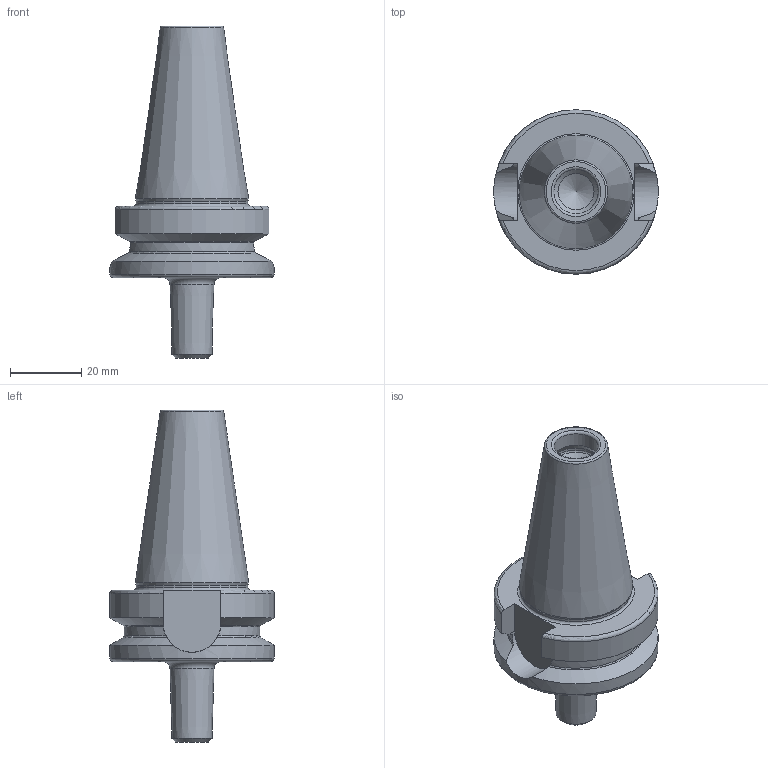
import cadquery as cq
import math


profile_plane = cq.Plane(origin=(0, 0, 0), xDir=(0, -1, 0), normal=(-1, 0, 0))

arc_inset = 1 - math.sqrt(0.5)

gauge_radius = 31.75 / 2
taper_length = 48.4
taper_slope = 7 / 48
taper_top_radius = gauge_radius - taper_length * taper_slope
top_edge_fillet = 0.5

neck_radius = 15.6
neck_top = -0.6
neck_fillet = 0.7

flange_radius = 23.0
flange_top = -2.0
flange_thickness = 20.0
flange_bottom = flange_top - flange_thickness
rim_fillet = 1.0

groove_center = -13.57
groove_width = 7.7
groove_radius = 19.0
groove_flank_angle = 30.0
groove_root_fillet = 0.5
groove_flank_height = (flange_radius - groove_radius) * math.tan(math.radians(groove_flank_angle))

slot_width = 16.1
slot_floor = 16.3
slot_depth = 17.4

shank_length = 22.5
shank_bottom = flange_bottom - shank_length
shank_slope = 1 / 20.047 / 2
shank_end_radius = 5.6
shank_end_chamfer = 1.0
shank_fillet = 2.0

mouth_fillet = 0.75
bore_radius = 6.2
bore_depth = 4.65
relief_radius = 6.8
relief_wall = 0.75
relief_flank_angle = 24.0
relief_cone_angle = 45.0
relief_fillet = 0.8
drill_radius = 5.05
drill_point_angle = 118.0


def body():
    """Revolved outside shape, without the drive slots and the hole."""
    groove_top = groove_center + groove_width / 2
    groove_base = groove_center - groove_width / 2
    groove_root_low = groove_base + groove_flank_height
    groove_root_high = groove_top - groove_flank_height

    flank_turn = math.radians(90 - groove_flank_angle)
    root_tangent = groove_root_fillet * math.tan(flank_turn / 2)
    root_run = root_tangent * math.sin(flank_turn)
    root_rise = root_tangent * math.cos(flank_turn)
    root_middle = groove_root_fillet * (1 - math.cos(flank_turn / 2))
    root_middle_rise = groove_root_fillet * math.sin(flank_turn / 2)

    shank_root_radius = shank_end_radius + shank_slope * shank_length

    taper_tilt = math.atan(taper_slope)
    top_edge_middle = (taper_tilt + math.pi / 2) / 2
    top_edge_center = (
        taper_top_radius + top_edge_fillet * taper_slope - top_edge_fillet / math.cos(taper_tilt)
    )
    top_edge_base = taper_length - top_edge_fillet

    profile = (
        cq.Workplane(profile_plane)
        .moveTo(0, shank_bottom)
        .lineTo(shank_end_radius - shank_end_chamfer, shank_bottom)
        .lineTo(shank_end_radius, shank_bottom + shank_end_chamfer)
        .lineTo(shank_root_radius, flange_bottom - shank_fillet)
        .threePointArc(
            (shank_root_radius + shank_fillet * arc_inset, flange_bottom - shank_fillet * arc_inset),
            (shank_root_radius + shank_fillet, flange_bottom),
        )
        .lineTo(flange_radius - rim_fillet, flange_bottom)
        .threePointArc(
            (flange_radius - rim_fillet * arc_inset, flange_bottom + rim_fillet * arc_inset),
            (flange_radius, flange_bottom + rim_fillet),
        )
        .lineTo(flange_radius, groove_base)
        .lineTo(groove_radius + root_run, groove_root_low - root_rise)
        .threePointArc(
            (groove_radius + root_middle, groove_root_low + root_tangent - root_middle_rise),
            (groove_radius, groove_root_low + root_tangent),
        )
        .lineTo(groove_radius, groove_root_high - root_tangent)
        .threePointArc(
            (groove_radius + root_middle, groove_root_high - root_tangent + root_middle_rise),
            (groove_radius + root_run, groove_root_high + root_rise),
        )
        .lineTo(flange_radius, groove_top)
        .lineTo(flange_radius, flange_top - rim_fillet)
        .threePointArc(
            (flange_radius - rim_fillet * arc_inset, flange_top - rim_fillet * arc_inset),
            (flange_radius - rim_fillet, flange_top),
        )
        .lineTo(neck_radius + neck_fillet, flange_top)
        .threePointArc(
            (neck_radius + neck_fillet * arc_inset, flange_top + neck_fillet * arc_inset),
            (neck_radius, flange_top + neck_fillet),
        )
        .lineTo(neck_radius, neck_top)
        .lineTo(gauge_radius, 0)
        .lineTo(
            top_edge_center + top_edge_fillet * math.cos(taper_tilt),
            top_edge_base + top_edge_fillet * math.sin(taper_tilt),
        )
        .threePointArc(
            (
                top_edge_center + top_edge_fillet * math.cos(top_edge_middle),
                top_edge_base + top_edge_fillet * math.sin(top_edge_middle),
            ),
            (top_edge_center, taper_length),
        )
        .lineTo(0, taper_length)
        .close()
    )
    return profile.revolve(360, (0, 0, 0), (0, 1, 0))


def drive_slot(side):
    """Round-ended slot, open at the flange top, on the +X (side = 1) or -X (side = -1) rim."""
    end_radius = slot_width / 2
    end_center = flange_top - slot_depth + end_radius
    top_clearance = 1.0
    length = flange_radius - slot_floor + top_clearance
    top = flange_top + top_clearance
    return (
        cq.Workplane("YZ", origin=(side * slot_floor, 0, 0))
        .moveTo(-end_radius, top)
        .lineTo(-end_radius, end_center)
        .threePointArc((0, end_center - end_radius), (end_radius, end_center))
        .lineTo(end_radius, top)
        .close()
        .extrude(side * length)
    )


def top_hole():
    """Revolved hole: rounded mouth, bore, widened relief, cone down to the drilled core, drill point."""
    flank = math.radians(relief_flank_angle)
    cone = math.radians(relief_cone_angle)
    mouth_radius = bore_radius + mouth_fillet
    bore_bottom = taper_length - bore_depth
    relief_top = bore_bottom - (relief_radius - bore_radius) / math.tan(flank)
    relief_bottom = relief_top - relief_wall

    fillet_middle_radius = relief_radius - relief_fillet * (1 - math.cos(cone / 2))
    fillet_middle = relief_bottom - relief_fillet * math.sin(cone / 2)
    cone_top_radius = relief_radius - relief_fillet * (1 - math.cos(cone))
    cone_top = relief_bottom - relief_fillet * math.sin(cone)

    drill_top = cone_top - (cone_top_radius - drill_radius) / math.tan(cone)
    drill_tip = drill_top - drill_radius / math.tan(math.radians(drill_point_angle / 2))
    return (
        cq.Workplane(profile_plane)
        .moveTo(0, taper_length)
        .lineTo(mouth_radius, taper_length)
        .threePointArc(
            (bore_radius + mouth_fillet * arc_inset, taper_length - mouth_fillet * arc_inset),
            (bore_radius, taper_length - mouth_fillet),
        )
        .lineTo(bore_radius, bore_bottom)
        .lineTo(relief_radius, relief_top)
        .lineTo(relief_radius, relief_bottom)
        .threePointArc((fillet_middle_radius, fillet_middle), (cone_top_radius, cone_top))
        .lineTo(drill_radius, drill_top)
        .lineTo(0, drill_tip)
        .close()
        .revolve(360, (0, 0, 0), (0, 1, 0))
    )


result = body().cut(top_hole())
for slot_side in (1, -1):
    result = result.cut(drive_slot(slot_side))